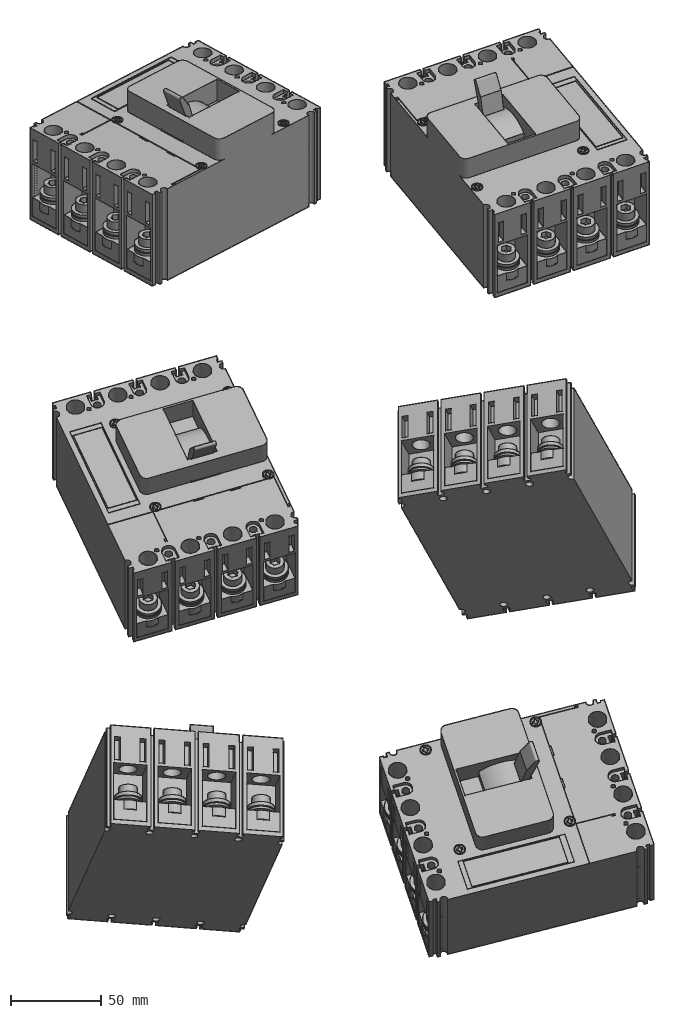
import cadquery as cq
import math

case_width = 100.0
case_half_length = 65.0
case_height = 60.0
pole_pitch = 25.0
pole_count = 4
pole_xs = [(i - (pole_count - 1) / 2) * pole_pitch for i in range(pole_count)]
gap_xs = [(i - (pole_count - 2) / 2) * pole_pitch for i in range(pole_count - 1)]
end_signs = (-1, 1)

edge_slot_x = 49.55
neck_width = 2.0
neck_depth = 2.4
tee_width = 3.9
tee_depth = 4.35
mount_hole_radius = 2.15
mount_hole_y = 56.8
mount_pocket_radius = 3.9
mount_pocket_end_y = 63.05
mount_pocket_depth = 2.5

vent_offset = 7.2
vent_width = 3.3
vent_bottom = 39.1
vent_top = 53.1
vent_depth = 5.0

chamber_width = 18.8
chamber_depth = 14.4
chamber_bottom = 2.8
chamber_top = 37.2
block_width = 18.5
block_recess = 0.2
block_top = 14.9

bolt_y = 57.75
boss_reach = 0.65
boss_radius = case_half_length + boss_reach - bolt_y
boss_bottom = 9.5
washer_bottom = 16.2
washer_radius = 7.45
washer_gap_bottom = 17.8
washer_gap_top = 18.2
washer_gap_radius = 7.0
washer_top = 20.4
bolt_head_radius = 5.15
bolt_head_top = 25.7
bolt_shank_radius = 3.3
bolt_discs = [
    (boss_radius, boss_bottom, block_top),
    (bolt_shank_radius, block_top, washer_bottom),
    (washer_radius, washer_bottom, washer_gap_bottom),
    (washer_gap_radius, washer_gap_bottom, washer_gap_top),
    (washer_radius, washer_gap_top, washer_top),
    (bolt_head_radius, washer_top, bolt_head_top),
]
hex_across_flats = 5.2
hex_depth = 3.5
driver_hole_radius = 5.1

pilot_radius = 1.2
pilot_depth = 4.0
pilot_xs = (-31.0, -6.1, 30.9)
pilot_y = 53.9

screw_xs = (-20.85, 45.8)
screw_ys = (-24.5, 39.1)
screw_recess_radius = 3.15
screw_head_radius = 2.75
screw_ring_depth = 0.4
cross_length = 3.4
cross_width = 1.25
cross_depth = 0.6

label_outer = (-46.6, -28.1, -19.5, 42.3)
label_inner = (-45.7, -28.7, -16.1, 39.4)
label_step = 0.3

seam_width = 0.12
seam_depth = 0.3
seam_y = -27.3
seam_right_x = 48.2
seam_left_x = -23.3
seam_end_y = -49.9
notch_offset = 1.0
notch_length = 2.0
cover_tab_xs = (3.65, 25.35)
cover_tab_width = 6.0
cover_tab_length = 0.9

plateau_x_min = -25.0
plateau_x_max = case_width / 2
plateau_y_min = -14.8
plateau_y_max = 30.1
plateau_top = 74.0
plateau_radius = 4.0
window_x_min = 3.6
window_x_max = 21.1
window_y_min = -9.85
window_y_max = 28.9

drum_x_min = 4.0
drum_x_max = 21.0
drum_radius = 22.0
drum_axis_y = 2.9
drum_rise = 9.3
drum_back_y = 15.9
handle_x_min = 5.9
handle_x_max = 18.8
handle_root_z = 64.0
handle_knee_z = 79.8
handle_knee_y = -7.4
handle_top = 87.61
tip_radius = 1.25
tip_y = -13.55
front_lean = math.radians(20.3)
back_lower_lean = math.radians(16.0)
back_upper_lean = math.radians(35.4)


def box(x_min, x_max, y_min, y_max, z_min, z_max):
    size = (x_max - x_min, y_max - y_min, z_max - z_min)
    return cq.Workplane("XY").box(*size, centered=False).translate((x_min, y_min, z_min))


def cylinder(x, y, radius, z_min, z_max):
    return cq.Workplane("XY").center(x, y).circle(radius).extrude(z_max - z_min).translate((0, 0, z_min))


def end_box(x, width, inset_min, inset_max, sign, z_min, z_max):
    """Box centred on x, lying between two insets from the end face on the given side."""
    ends = sorted(sign * (case_half_length - inset) for inset in (inset_min, inset_max))
    return box(x - width / 2, x + width / 2, *ends, z_min, z_max)


def top_pocket(x_min, x_max, y_min, y_max, depth):
    return box(x_min, x_max, y_min, y_max, case_height - depth, case_height)


def barrier_slot(x, sign):
    """T slot open to the end face, with the mounting hole behind it, both through the full height."""
    neck = end_box(x, neck_width, 0, neck_depth, sign, 0, case_height)
    tee = end_box(x, tee_width, neck_depth, tee_depth, sign, 0, case_height)
    hole = cylinder(x, sign * mount_hole_y, mount_hole_radius, 0, case_height)
    return neck.union(tee).union(hole)


def mount_pocket(x, sign):
    """Round-ended pocket in the top face around a mounting hole."""
    floor = case_height - mount_pocket_depth
    inset_min = case_half_length - mount_pocket_end_y
    inset_max = case_half_length - mount_hole_y
    straight = end_box(x, 2 * mount_pocket_radius, inset_min, inset_max, sign, floor, case_height)
    return straight.union(cylinder(x, sign * mount_hole_y, mount_pocket_radius, floor, case_height))


def terminal_cut(x, sign):
    """Chamber, screwdriver hole and vent slots of one pole end."""
    cut = end_box(x, chamber_width, 0, chamber_depth, sign, chamber_bottom, chamber_top)
    cut = cut.union(cylinder(x, sign * bolt_y, driver_hole_radius, chamber_top, case_height))
    for side in (-1, 1):
        vent_x = x + side * vent_offset
        cut = cut.union(end_box(vent_x, vent_width, 0, vent_depth, sign, vent_bottom, vent_top))
    return cut


def terminal(x, sign):
    """Terminal block with its bolt, washers and hexagon socket."""
    body = end_box(x, block_width, block_recess, chamber_depth, sign, chamber_bottom, block_top)
    for radius, z_min, z_max in bolt_discs:
        body = body.union(cylinder(x, sign * bolt_y, radius, z_min, z_max))
    hex_across_corners = hex_across_flats / math.cos(math.pi / 6)
    socket = (
        cq.Workplane("XY", origin=(x, sign * bolt_y, bolt_head_top))
        .polygon(6, hex_across_corners)
        .extrude(-hex_depth)
    )
    return body.cut(socket)


def screw_cut(x, y):
    """Ring gap around a flush screw head, with the cross recess in the head."""
    ring_floor = case_height - screw_ring_depth
    ring = cylinder(x, y, screw_recess_radius, ring_floor, case_height)
    ring = ring.cut(cylinder(x, y, screw_head_radius, ring_floor, case_height))
    long = cross_length / 2
    short = cross_width / 2
    across = top_pocket(x - long, x + long, y - short, y + short, cross_depth)
    along = top_pocket(x - short, x + short, y - long, y + long, cross_depth)
    return ring.union(across).union(along)


def seam_cuts():
    """Grooves, short notches and tab pockets outlining the terminal cover."""
    half = seam_width / 2
    cuts = [top_pocket(-case_width / 2, seam_right_x + half, seam_y - half, seam_y + half, seam_depth)]
    for x, outward in ((seam_left_x, -1), (seam_right_x, 1)):
        notch_x = x + outward * notch_offset
        notch_end_y = seam_end_y + notch_length
        cuts.append(top_pocket(x - half, x + half, seam_end_y, seam_y, seam_depth))
        cuts.append(top_pocket(notch_x - half, notch_x + half, seam_end_y, notch_end_y, seam_depth))
    for x in cover_tab_xs:
        tab_half = cover_tab_width / 2
        cuts.append(top_pocket(x - tab_half, x + tab_half, seam_y - cover_tab_length, seam_y, seam_depth))
    return cuts


def make_lever():
    drum_axis_z = case_height + drum_rise - drum_radius
    drum_top = (drum_axis_y, case_height + drum_rise)
    drum_front_y = drum_axis_y - math.sqrt(drum_radius**2 - (case_height - drum_axis_z) ** 2)
    drum_back_z = drum_axis_z + math.sqrt(drum_radius**2 - (drum_back_y - drum_axis_y) ** 2)
    drum = (
        cq.Workplane("YZ", origin=(drum_x_min, 0, 0))
        .moveTo(drum_front_y, case_height)
        .threePointArc(drum_top, (drum_back_y, drum_back_z))
        .lineTo(drum_back_y, case_height)
        .close()
        .extrude(drum_x_max - drum_x_min)
    )
    tip_z = handle_top - tip_radius
    front_y = tip_y - tip_radius * math.cos(front_lean)
    front_z = tip_z - tip_radius * math.sin(front_lean)
    back_y = tip_y + tip_radius * math.cos(back_upper_lean)
    back_z = tip_z + tip_radius * math.sin(back_upper_lean)
    root_front_y = front_y + (front_z - handle_root_z) * math.tan(front_lean)
    root_back_y = handle_knee_y + (handle_knee_z - handle_root_z) * math.tan(back_lower_lean)
    handle = (
        cq.Workplane("YZ", origin=(handle_x_min, 0, 0))
        .moveTo(root_front_y, handle_root_z)
        .lineTo(front_y, front_z)
        .threePointArc((tip_y, handle_top), (back_y, back_z))
        .lineTo(handle_knee_y, handle_knee_z)
        .lineTo(root_back_y, handle_root_z)
        .close()
        .extrude(handle_x_max - handle_x_min)
    )
    return drum.union(handle)


def make_housing(lever):
    half_width = case_width / 2
    body = box(-half_width, half_width, -case_half_length, case_half_length, 0, case_height)
    for sign in end_signs:
        for x in pole_xs:
            body = body.cut(terminal_cut(x, sign)).union(terminal(x, sign))
        for x in gap_xs:
            body = body.cut(barrier_slot(x, sign)).cut(mount_pocket(x, sign))
        for x in (-edge_slot_x, edge_slot_x):
            body = body.cut(barrier_slot(x, sign))
        for x in pilot_xs:
            body = body.cut(cylinder(x, sign * pilot_y, pilot_radius, case_height - pilot_depth, case_height))

    for x in screw_xs:
        for y in screw_ys:
            body = body.cut(screw_cut(x, y))
    for groove in seam_cuts():
        body = body.cut(groove)
    body = body.cut(top_pocket(*label_outer, label_step))
    body = body.cut(top_pocket(*label_inner, 2 * label_step))

    plateau = box(plateau_x_min, plateau_x_max, plateau_y_min, plateau_y_max, case_height, plateau_top)
    plateau = plateau.edges("|Z").fillet(plateau_radius)
    window = box(window_x_min, window_x_max, window_y_min, window_y_max, case_height, plateau_top)
    return body.union(plateau.cut(window).cut(lever))


lever = make_lever()
housing = make_housing(lever)
result = cq.Compound.makeCompound([housing.solids().val(), lever.solids().val()])